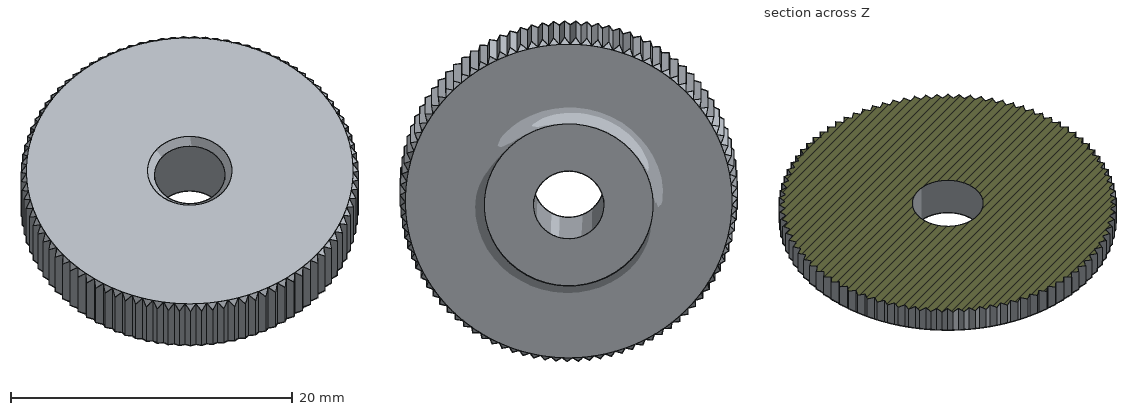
import cadquery as cq
import math

tip_radius = 12.0
disc_thickness = 5.0
edge_chamfer = 0.4

tooth_count = 95
groove_angle = 90.0
first_tip_angle = -90.0

collar_height = 1.0
collar_radius = 6.0

hole_diameter = 5.0
countersink_diameter = 6.0
countersink_angle = 90.0

envelope_clearance = 0.5

total_height = collar_height + disc_thickness
tooth_pitch = 360.0 / tooth_count

half_pitch = math.radians(tooth_pitch / 2)
half_groove_width = tip_radius * math.sin(half_pitch)
groove_depth = half_groove_width / math.tan(math.radians(groove_angle / 2))
root_radius = tip_radius * math.cos(half_pitch) - groove_depth


def polar_point(radius, angle_degrees):
    angle = math.radians(angle_degrees)
    return (radius * math.cos(angle), radius * math.sin(angle))


def make_knurled_prism():
    """Toothed disc with square edges, resting on top of the collar."""
    outline = []
    for tooth in range(tooth_count):
        tip_angle = first_tip_angle + tooth * tooth_pitch
        outline.append(polar_point(tip_radius, tip_angle))
        outline.append(polar_point(root_radius, tip_angle + tooth_pitch / 2))
    return (
        cq.Workplane("XY")
        .workplane(offset=collar_height)
        .polyline(outline)
        .close()
        .extrude(disc_thickness)
    )


def make_chamfered_blank():
    """Round envelope, clear of the tooth tips, whose 45 degree cones bevel the tooth ends."""
    return (
        cq.Workplane("XY")
        .workplane(offset=collar_height)
        .circle(tip_radius + envelope_clearance)
        .extrude(disc_thickness)
        .edges("%CIRCLE")
        .chamfer(edge_chamfer + envelope_clearance)
    )


def make_collar():
    """Collar whose side is a quarter-round, tangent to the underside of the disc."""
    flare_radius = collar_radius + collar_height
    arc_reach = collar_height * math.sqrt(0.5)
    arc_middle = (flare_radius - arc_reach, arc_reach)
    return (
        cq.Workplane("XZ")
        .lineTo(collar_radius, 0)
        .threePointArc(arc_middle, (flare_radius, collar_height))
        .lineTo(0, collar_height)
        .close()
        .revolve(360, (0, 0, 0), (0, 1, 0))
    )


def cut_hole(body):
    return (
        body.faces(">Z")
        .workplane(origin=(0, 0, total_height))
        .cskHole(hole_diameter, countersink_diameter, countersink_angle)
    )


knurled_disc = make_knurled_prism().intersect(make_chamfered_blank())
result = cut_hole(knurled_disc.union(make_collar()))